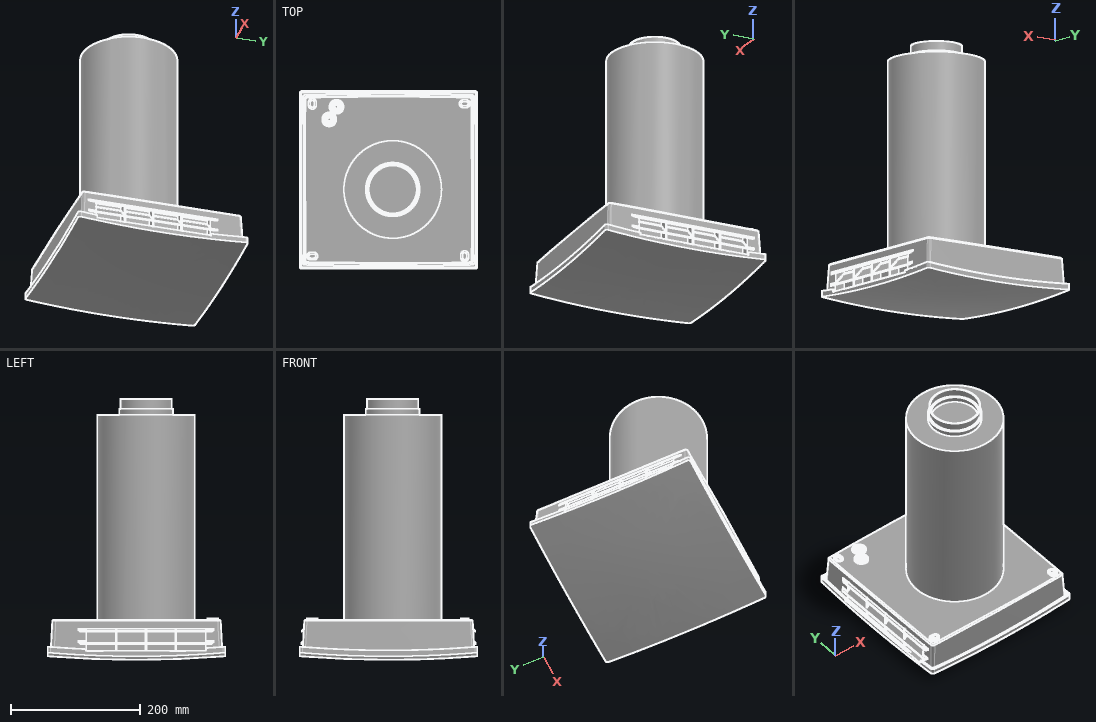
import cadquery as cq
import math

plate_size = 275.01
plate_corner_radius = 4.0
plate_thickness = 9.3
edge_rise = 5.7
rim_width = 2.8
rim_groove_depth = 2.5

housing_top = 62.5
housing_top_size = 260.4
housing_base_size = 267.0
wall_bulge = 1.3
housing_corner_radius = 4.0
housing_top_chamfer = 2.2

total_height = 403.39
duct_x = 6.5
duct_y = -14.7
duct_diameter = 151.0
spigot_length = 24.8
spigot_neck_length = 15.3
spigot_neck_diameter = 79.6
spigot_neck_bore = 77.0
spigot_base_diameter = 83.5
spigot_base_bore = 74.0

louvre_y = duct_y
window_width = 185.0
window_floor = 14.0
passage_ceiling = 52.0
window_back = 115.0
blade_thickness = 1.8
blade_root_x = 128.0
blade_slope = math.radians(45)
upper_blade_tip = (133.8, 45.2)
lower_blade_tip = (135.0, 26.4)
blade_length = 218.0
blade_end_taper = 8.0
mullion_count = 3
mullion_pitch = 46.0
mullion_width = 2.2
mullion_face = 131.5

fixing_offset = 117.7
pad_length = 16.5
pad_width = 12.0
boss_height = 1.6
recess_depth = 1.0
fixing_slot_length = 11.0
fixing_slot_width = 6.0
fixing_slot_depth = 3.0

grommet_centres = [(-80.4, 113.0), (-91.6, 93.5)]
grommet_outer_radius = 11.0
grommet_groove_count = 4
grommet_groove_pitch = 2.4
grommet_groove_width = 1.2
grommet_groove_depth = 1.0

plate_block_height = housing_top / 2
dome_radius = ((plate_size / 2) ** 2 + edge_rise**2) / (2 * edge_rise)
duct_top = total_height - spigot_length


def dome(lowest_z):
    """Ball whose lowest point lies at the given height."""
    return cq.Workplane("XY").sphere(dome_radius).translate((0, 0, lowest_z + dome_radius))


def square_block(size, corner_radius, height):
    """Upright square block standing on Z = 0, with rounded corners."""
    return cq.Workplane("XY").rect(size, size).extrude(height).edges("|Z").fillet(corner_radius)


def make_plate():
    plate = square_block(plate_size, plate_corner_radius, plate_block_height)
    plate = plate.intersect(dome(0)).cut(dome(plate_thickness))
    inner_size = plate_size - 2 * rim_width
    inner_radius = plate_corner_radius - rim_width
    groove = square_block(inner_size, inner_radius, plate_block_height)
    return plate.cut(groove.intersect(dome(plate_thickness - rim_groove_depth)))


def housing_outline(workplane, size):
    """Square with straight X sides and front and back sides bowed outwards to the full size."""
    half = size / 2
    corner = half - wall_bulge
    return (
        workplane.moveTo(-half, -corner)
        .threePointArc((0, -half), (half, -corner))
        .lineTo(half, corner)
        .threePointArc((0, half), (-half, corner))
        .close()
    )


def make_housing():
    base = housing_outline(cq.Workplane("XY"), housing_base_size)
    top = housing_outline(base.workplane(offset=housing_top), housing_top_size)
    housing = top.loft(ruled=True, combine=True)
    housing = housing.edges("not(#Z)").edges("not(<Z or >Z)").fillet(housing_corner_radius)
    housing = housing.faces(">Z").edges().chamfer(housing_top_chamfer)
    return housing.intersect(dome(0))


def make_duct():
    return (
        cq.Workplane("XY", origin=(duct_x, duct_y, housing_top))
        .circle(duct_diameter / 2)
        .extrude(duct_top - housing_top)
    )


def make_spigot():
    neck_bottom = spigot_length - spigot_neck_length
    neck_radius = spigot_neck_diameter / 2
    profile = (
        cq.Workplane("XZ")
        .moveTo(spigot_base_bore / 2, 0)
        .lineTo(spigot_base_diameter / 2, 0)
        .lineTo(spigot_base_diameter / 2, neck_bottom)
        .lineTo(neck_radius, neck_bottom)
        .lineTo(neck_radius, spigot_length)
        .lineTo(spigot_neck_bore / 2, spigot_length)
        .lineTo(spigot_neck_bore / 2, neck_bottom)
        .lineTo(spigot_base_bore / 2, neck_bottom)
        .close()
    )
    return profile.revolve(360, (0, 0, 0), (0, 1, 0)).translate((duct_x, duct_y, duct_top))


def prism_along_y(points, length):
    """Section in the XZ plane, extruded along Y and centred on the louvre."""
    section = cq.Workplane("XZ", origin=(0, louvre_y, 0)).polyline(points).close()
    return section.extrude(length / 2, both=True)


def blade_height(tip, x, below=0.0):
    """Height of a blade's upper face at x, or of the parallel plane a given distance below it."""
    return tip[1] + (tip[0] - x) * math.tan(blade_slope) - below


def louvre_openings():
    """Upper and lower air passages of the +X wall, divided by the mullions."""
    mouth = plate_size
    upper = prism_along_y(
        [
            (mouth, blade_height(lower_blade_tip, mouth)),
            (window_back, blade_height(lower_blade_tip, window_back)),
            (window_back, blade_height(upper_blade_tip, window_back, blade_thickness)),
            (mouth, blade_height(upper_blade_tip, mouth, blade_thickness)),
        ],
        window_width,
    )
    roof_at_tip = blade_height(lower_blade_tip, lower_blade_tip[0], blade_thickness)
    lower = prism_along_y(
        [
            (mouth, window_floor),
            (window_back, window_floor),
            (window_back, blade_height(lower_blade_tip, window_back, blade_thickness)),
            (lower_blade_tip[0], roof_at_tip),
            (mouth, roof_at_tip),
        ],
        window_width,
    )
    height_limits = (
        cq.Workplane("XY", origin=(0, 0, window_floor))
        .rect(2 * mouth, 2 * mouth)
        .extrude(passage_ceiling - window_floor)
    )
    openings = upper.intersect(height_limits).union(lower)
    for index in range(mullion_count):
        y = louvre_y + (index - (mullion_count - 1) / 2) * mullion_pitch
        mullion = (
            cq.Workplane("XY", origin=(mullion_face / 2, y, 0))
            .rect(mullion_face, mullion_width)
            .extrude(housing_top)
        )
        openings = openings.cut(mullion)
    return openings


def louvre_blade(tip):
    """Sloping blade standing out of the +X wall, with ends tapering towards the tip."""
    root_z = blade_height(tip, blade_root_x)
    blade = prism_along_y(
        [
            tip,
            (blade_root_x, root_z),
            (blade_root_x, root_z - blade_thickness),
            (tip[0], tip[1] - blade_thickness),
        ],
        blade_length,
    )
    half_root = blade_length / 2
    half_tip = half_root - blade_end_taper
    plan = (
        cq.Workplane("XY", origin=(0, louvre_y, 0))
        .polyline(
            [
                (blade_root_x, -half_root),
                (tip[0], -half_tip),
                (tip[0], half_tip),
                (blade_root_x, half_root),
            ]
        )
        .close()
        .extrude(housing_top)
    )
    return blade.intersect(plan)


def add_louvres(body):
    openings = louvre_openings()
    blades = louvre_blade(upper_blade_tip).union(louvre_blade(lower_blade_tip))
    body = body.cut(openings).cut(openings.mirror("YZ"))
    return body.union(blades).union(blades.mirror("YZ"))


def fixing_slot(x, y, length, width, angle, bottom, top):
    """Upright prism with a slot-shaped outline between two heights."""
    return (
        cq.Workplane("XY", origin=(x, y, bottom))
        .slot2D(length, width, angle)
        .extrude(top - bottom)
    )


def add_fixings(body):
    boss_top = housing_top + boss_height
    for side_x in (-1, 1):
        for side_y in (-1, 1):
            x = side_x * fixing_offset
            y = side_y * fixing_offset
            angle = 0 if side_x == side_y else 90
            if side_y < 0:
                boss = fixing_slot(x, y, pad_length, pad_width, angle, housing_top, boss_top)
                body = body.union(boss)
            else:
                recess_floor = housing_top - recess_depth
                recess = fixing_slot(x, y, pad_length, pad_width, angle, recess_floor, boss_top)
                body = body.cut(recess)
            slot_floor = housing_top - fixing_slot_depth
            slot = fixing_slot(
                x, y, fixing_slot_length, fixing_slot_width, angle, slot_floor, boss_top
            )
            body = body.cut(slot)
    return body


def cut_grommets(body):
    for x, y in grommet_centres:
        for index in range(grommet_groove_count):
            outer = grommet_outer_radius - index * grommet_groove_pitch
            groove = (
                cq.Workplane("XY", origin=(x, y, housing_top))
                .circle(outer)
                .circle(outer - grommet_groove_width)
                .extrude(-grommet_groove_depth)
            )
            body = body.cut(groove)
    return body


body = make_plate().union(make_housing())
body = add_louvres(body)
body = add_fixings(body)
body = cut_grommets(body)
result = body.union(make_duct()).union(make_spigot())